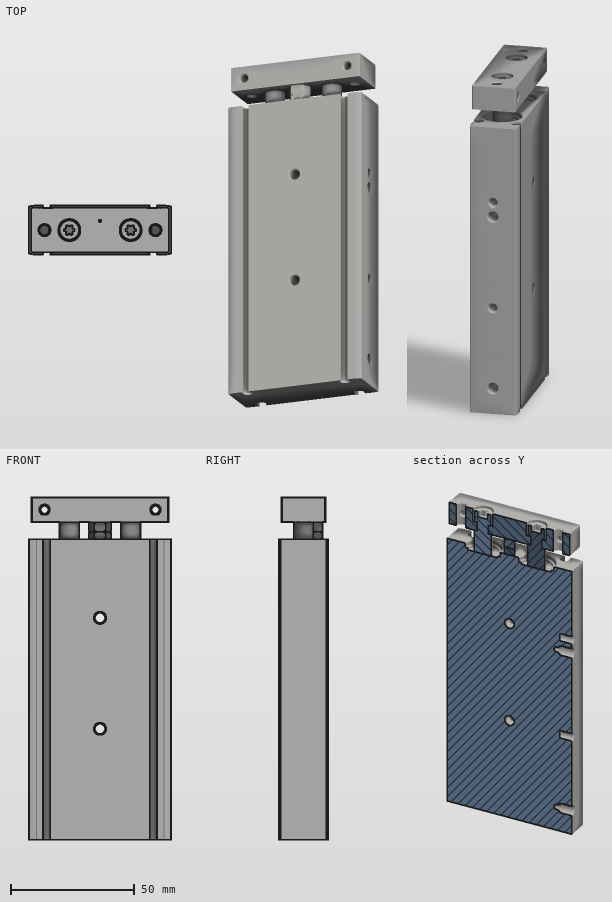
import cadquery as cq
import math

housing_width = 58.0
housing_depth = 20.0
housing_height = 122.0
flat_half_width = 25.9
corner_drop = 0.4
corner_chamfer = 0.3
groove_inner_x = 20.2
groove_mouth_x = 23.2
groove_taper = 0.5
groove_bore_diameter = 4.2
groove_bore_x = 21.3
groove_bore_y = 7.8

large_core = 4.2
large_mouth = 5.0
small_core = 3.2
small_mouth = 4.3
upper_hole_z = 90.1
lower_hole_z = upper_hole_z / 2
side_hole_depth = 5.5

port_heights = (10.8, 84.0)
port_depth = 5.5
port_step_diameter = 2.9
port_step_depth = 0.7
port_passage_diameter = 2.0
port_passage_depth = 1.4
drill_tip_height = 0.7

rod_spacing = 24.9
gland_mouth_diameter = 17.0
gland_bore_diameter = 16.0
gland_seat_diameter = 13.6
gland_bore_depth = 2.0
gland_seat_depth = 0.8

plate_width = 56.0
plate_depth = 18.1
plate_top = 139.0
plate_height = 10.0
plate_bottom = plate_top - plate_height
plate_edge_chamfer = 0.4
plate_hole_x = 22.5
vent_diameter = 1.0
vent_depth = 1.4

rod_diameter = 8.0
shank_diameter = 5.0
head_diameter = 8.5
head_pocket_diameter = 9.0
head_height = 5.0
head_recess = 0.7
knurl_count = 32
knurl_groove_diameter = 0.7
socket_core_diameter = 3.2
socket_lobe_count = 6
socket_lobe_diameter = 1.1
socket_lobe_circle = 3.3
socket_depth = 2.5

stopper_y = 3.8
hex_across_flats = 8.0
hex_across_corners = hex_across_flats / math.cos(math.pi / 6)
hex_chamfer_height = 0.4
hex_chamfer_width = 0.7
nut_height = 4.0
bolt_thread_in_plate = 5.0

rod_positions = [(-rod_spacing / 2, 0), (rod_spacing / 2, 0)]
rod_seat_z = housing_height - gland_bore_depth - gland_seat_depth
head_top = plate_top - head_recess
head_bottom = head_top - head_height
nut_bottom = plate_bottom - nut_height


def cylinder(diameter, bottom, top, x=0, y=0):
    """Upright cylinder between two heights."""
    return cq.Workplane("XY", origin=(x, y, bottom)).circle(diameter / 2).extrude(top - bottom)


def threaded_hole(core, mouth, depth, position, direction):
    """Cutter for a hole with a 45 degree countersunk mouth, going along direction."""
    point = cq.Vector(*position)
    axis = cq.Vector(*direction)
    sink = (mouth - core) / 2
    hole = cq.Solid.makeCylinder(core / 2, depth, point, axis)
    return cq.Workplane(hole.fuse(cq.Solid.makeCone(mouth / 2, core / 2, sink, point, axis)))


def housing_blank():
    """Quarter outline extruded and mirrored into the full body."""
    side_x = housing_width / 2
    face_y = housing_depth / 2
    strip_end_x = side_x - corner_chamfer
    strip_end_y = face_y - corner_drop
    strip_run = strip_end_x - flat_half_width
    radius = (strip_run**2 + corner_drop**2) / (2 * corner_drop)
    half_angle = math.asin(strip_run / radius) / 2
    strip_middle = (
        flat_half_width + radius * math.sin(half_angle),
        face_y - radius * (1 - math.cos(half_angle)),
    )
    quarter = (
        cq.Workplane("XY")
        .lineTo(0, face_y)
        .lineTo(flat_half_width, face_y)
        .threePointArc(strip_middle, (strip_end_x, strip_end_y))
        .lineTo(side_x, strip_end_y - corner_chamfer)
        .lineTo(side_x, 0)
        .close()
        .extrude(housing_height)
    )
    half = quarter.union(quarter.mirror("XZ"))
    return half.union(half.mirror("YZ")).clean()


def switch_groove():
    """Round groove with a tapered throat open to the +Y face, on the +X side."""
    throat = (
        cq.Workplane("XY")
        .moveTo(groove_inner_x, groove_bore_y)
        .lineTo(groove_inner_x, housing_depth / 2)
        .lineTo(groove_mouth_x, housing_depth / 2)
        .lineTo(groove_mouth_x - groove_taper, groove_bore_y)
        .close()
        .extrude(housing_height)
    )
    return throat.union(cylinder(groove_bore_diameter, 0, housing_height, groove_bore_x, groove_bore_y))


def gland_recess(x, y):
    sink = (gland_mouth_diameter - gland_bore_diameter) / 2
    mouth = cq.Workplane(
        cq.Solid.makeCone(
            gland_bore_diameter / 2, gland_mouth_diameter / 2, sink, cq.Vector(x, y, housing_height - sink)
        )
    )
    bore = cylinder(gland_bore_diameter, housing_height - gland_bore_depth, housing_height, x, y)
    seat = cylinder(gland_seat_diameter, rod_seat_z, housing_height, x, y)
    return mouth.union(bore).union(seat)


def air_port(z):
    """Threaded port that steps down to a drilled passage with a conical end."""
    axis = cq.Vector(1, 0, 0)
    step_x = port_depth - housing_width / 2
    passage_x = step_x + port_step_depth
    tip_x = passage_x + port_passage_depth
    radius = port_passage_diameter / 2
    step = cq.Solid.makeCylinder(port_step_diameter / 2, port_step_depth, cq.Vector(step_x, 0, z), axis)
    passage = cq.Solid.makeCylinder(radius, port_passage_depth, cq.Vector(passage_x, 0, z), axis)
    tip = cq.Solid.makeCone(radius, 0, drill_tip_height, cq.Vector(tip_x, 0, z), axis)
    port = threaded_hole(large_core, large_mouth, port_depth, (-housing_width / 2, 0, z), (1, 0, 0))
    for section in (step, passage, tip):
        port = port.union(cq.Workplane(section))
    return port


def build_housing():
    body = housing_blank()
    groove = switch_groove()
    for right_groove in (groove, groove.mirror("XZ")):
        body = body.cut(right_groove).cut(right_groove.mirror("YZ"))
    for z in (lower_hole_z, upper_hole_z):
        for y_side in (-1, 1):
            mouth = (0, y_side * housing_depth / 2, z)
            body = body.cut(threaded_hole(large_core, large_mouth, housing_depth, mouth, (0, -y_side, 0)))
        mouth = (-housing_width / 2, 0, z)
        body = body.cut(threaded_hole(small_core, small_mouth, side_hole_depth, mouth, (1, 0, 0)))
    for z in port_heights:
        body = body.cut(air_port(z))
    for x, y in rod_positions:
        body = body.cut(gland_recess(x, y))
    return body


def build_plate():
    body = (
        cq.Workplane("XY", origin=(0, 0, plate_bottom))
        .rect(plate_width, plate_depth)
        .extrude(plate_height)
        .edges("|Z")
        .chamfer(plate_edge_chamfer)
    )
    middle_z = plate_bottom + plate_height / 2
    for x in (-plate_hole_x, plate_hole_x):
        body = body.cut(threaded_hole(large_core, large_mouth, plate_height, (x, 0, plate_top), (0, 0, -1)))
        for y_side in (-1, 1):
            mouth = (x, y_side * plate_depth / 2, middle_z)
            body = body.cut(threaded_hole(small_core, small_mouth, plate_depth, mouth, (0, -y_side, 0)))
    for x, y in rod_positions:
        body = body.cut(cylinder(shank_diameter, plate_bottom, head_bottom, x, y))
        body = body.cut(cylinder(head_pocket_diameter, head_bottom, plate_top, x, y))
    body = body.cut(cylinder(shank_diameter, plate_bottom, plate_bottom + bolt_thread_in_plate, 0, stopper_y))
    return body.cut(cylinder(vent_diameter, plate_top - vent_depth, plate_top, 0, stopper_y))


def build_rod(x, y):
    """Rod, shank through the plate and knurled screw head with a six-lobe socket."""
    knurl = (
        cq.Workplane("XY", origin=(x, y, head_bottom))
        .polarArray(head_diameter / 2, 0, 360, knurl_count)
        .circle(knurl_groove_diameter / 2)
        .extrude(head_height)
    )
    socket_lobes = (
        cq.Workplane("XY", origin=(x, y, head_top - socket_depth))
        .polarArray(socket_lobe_circle / 2, 0, 360, socket_lobe_count)
        .circle(socket_lobe_diameter / 2)
        .extrude(socket_depth)
    )
    socket_core = cylinder(socket_core_diameter, head_top - socket_depth, head_top, x, y)
    head = cylinder(head_diameter, head_bottom, head_top, x, y)
    head = head.cut(knurl).cut(socket_core).cut(socket_lobes)
    rod = cylinder(rod_diameter, rod_seat_z, plate_bottom, x, y)
    shank = cylinder(shank_diameter, plate_bottom, head_bottom, x, y)
    return rod.union(shank).union(head)


def chamfered_hexagon(bottom, top):
    """Hexagonal prism with its corners turned off at both ends."""
    prism = (
        cq.Workplane("XY", origin=(0, stopper_y, bottom))
        .polygon(6, hex_across_corners)
        .extrude(top - bottom)
    )
    turned = (
        cylinder(hex_across_corners, bottom, top, 0, stopper_y)
        .faces("<Z or >Z")
        .chamfer(hex_chamfer_width, hex_chamfer_height)
    )
    return prism.intersect(turned)


def build_lock_nut():
    hole = cylinder(shank_diameter, nut_bottom, plate_bottom, 0, stopper_y)
    return chamfered_hexagon(nut_bottom, plate_bottom).cut(hole)


def build_stopper_bolt():
    thread = cylinder(shank_diameter, nut_bottom, plate_bottom + bolt_thread_in_plate, 0, stopper_y)
    return chamfered_hexagon(housing_height, nut_bottom).union(thread)


housing = build_housing()
plate = build_plate()
rods = [build_rod(x, y) for x, y in rod_positions]
lock_nut = build_lock_nut()
stopper_bolt = build_stopper_bolt()

result = cq.Compound.makeCompound(
    [housing.val(), plate.val(), *[rod.val() for rod in rods], lock_nut.val(), stopper_bolt.val()]
)